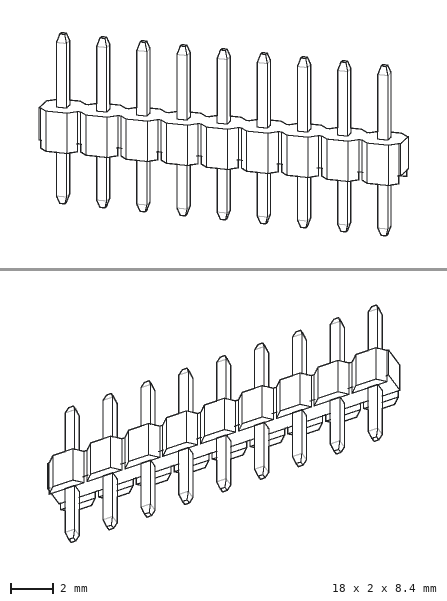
import cadquery as cq

length = 18.0
pin_count = 9
pitch = length / pin_count

cell_depth = pitch
cell_height = pitch
bevel = 0.4
web_setback = 0.075
web_width = cell_depth - 2 * bevel

channel_width = web_width
channel_depth = 0.4

pin_side = 0.5
tip_side = pin_side / 2
tip_length = 0.4
pin_above = 3.6
pin_below = 2.8
pin_top = cell_height + pin_above
pin_bottom = -pin_below

pin_centres = [(i - (pin_count - 1) / 2) * pitch for i in range(pin_count)]


def bevelled_cell(x):
    """Octagonal block around one pin."""
    return (
        cq.Workplane("XY")
        .center(x, 0)
        .rect(pitch - 2 * web_setback, cell_depth)
        .extrude(cell_height)
        .edges("|Z")
        .chamfer(bevel)
    )


def housing():
    """Cells joined by a central bar, with the channel cut along the underside."""
    body = cq.Workplane("XY").rect(length, web_width).extrude(cell_height)
    for x in pin_centres:
        body = body.union(bevelled_cell(x))
    channel = cq.Workplane("XY").rect(length, channel_width).extrude(channel_depth)
    return body.cut(channel)


def tip(x, base_z, direction):
    """Tapered pin end, pointing up (direction 1) or down (direction -1)."""
    return (
        cq.Workplane("XY", origin=(x, 0, base_z))
        .rect(pin_side, pin_side)
        .workplane(offset=direction * tip_length)
        .rect(tip_side, tip_side)
        .loft(ruled=True)
    )


def pin(x):
    """Square pin with a tapered tip at both ends."""
    shank_bottom = pin_bottom + tip_length
    shank_top = pin_top - tip_length
    shank = (
        cq.Workplane("XY", origin=(x, 0, shank_bottom))
        .rect(pin_side, pin_side)
        .extrude(shank_top - shank_bottom)
    )
    return shank.union(tip(x, shank_top, 1)).union(tip(x, shank_bottom, -1))


result = housing()
for pin_x in pin_centres:
    result = result.union(pin(pin_x))